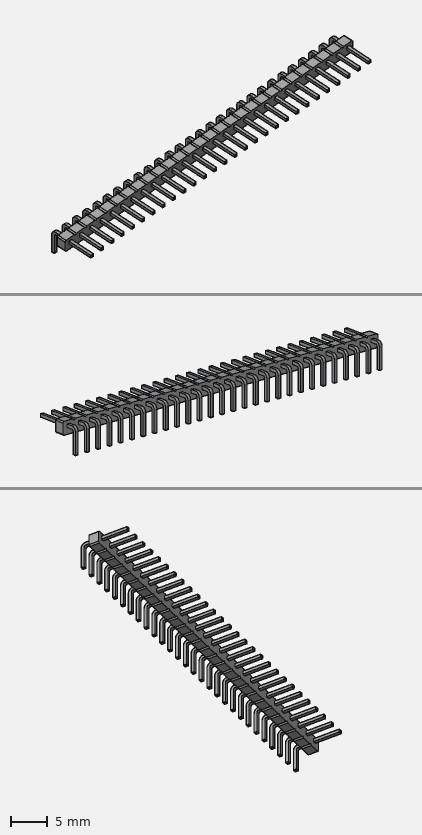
import cadquery as cq

pin_count = 28
row_length = 56.0
pitch = row_length / pin_count

body_back = 1.75
body_depth = 1.5
body_height = 2.0
body_chamfer = 0.2

total_depth = 7.45
total_height = 4.65
pin_width = 0.5
pin_drop = 0.5
bend_inner_radius = 0.25
bend_outer_radius = bend_inner_radius + pin_width
tip_chamfer = 0.1

pin_top = total_height - pin_drop


def make_cell(center_y):
    """One body cell with its four long edges chamfered."""
    return (
        cq.Workplane("XY")
        .box(body_depth, pitch, body_height, centered=(False, True, False))
        .edges("|X")
        .chamfer(body_chamfer)
        .translate((body_back, center_y, total_height - body_height))
    )


def make_pin(center_y):
    """One right-angle pin: a leg going down, a bend and a straight contact running along +X."""
    outer_blank = (
        cq.Workplane("XZ")
        .rect(total_depth, pin_top, centered=False)
        .extrude(pin_width / 2, both=True)
        .edges("|Y and <X and >Z")
        .fillet(bend_outer_radius)
    )
    clearance = (
        cq.Workplane("XZ")
        .moveTo(pin_width, 0)
        .rect(total_depth, pin_top - pin_width, centered=False)
        .extrude(pin_width, both=True)
        .edges("|Y and <X and >Z")
        .fillet(bend_inner_radius)
    )
    return (
        outer_blank.cut(clearance)
        .faces(">X or <Z")
        .edges()
        .chamfer(tip_chamfer)
        .translate((0, center_y, 0))
    )


centers = [(index - (pin_count - 1) / 2) * pitch for index in range(pin_count)]

result = cq.Workplane("XY")
for center_y in centers:
    result = result.union(make_cell(center_y)).union(make_pin(center_y))

result = result.clean()